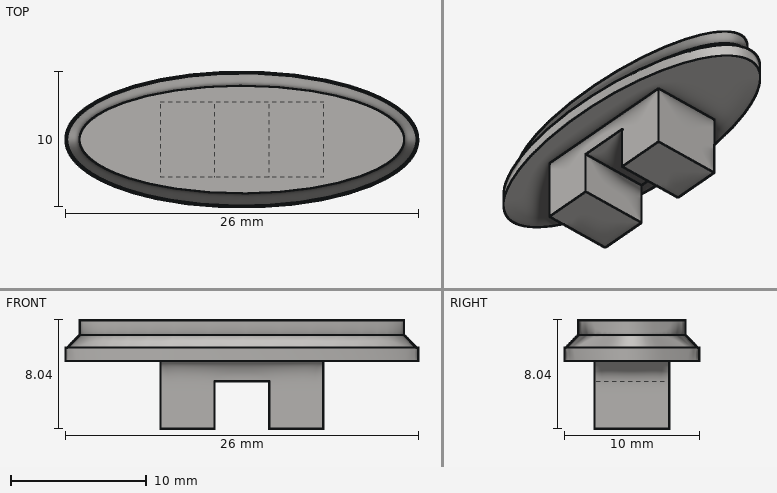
import cadquery as cq

cap_length = 26.0
cap_width = 10.0
rim_height = 1.0
bevel_height = 0.94
top_height = 1.1
bevel_inset = 0.13
top_inset = 1.05

block_length = 12.0
block_width = 5.55
block_height = 5.0
slot_width = 4.0
slot_depth = 3.5

rim_top = block_height + rim_height
bevel_top = rim_top + bevel_height


def oval(height, inset):
    """Ellipse at the given height, reduced by the inset on every side."""
    return cq.Workplane("XY", origin=(0, 0, height)).ellipse(cap_length / 2 - inset, cap_width / 2 - inset)


rim = oval(block_height, 0).extrude(rim_height)
bevel = (
    oval(rim_top, bevel_inset)
    .workplane(offset=bevel_height)
    .ellipse(cap_length / 2 - top_inset, cap_width / 2 - top_inset)
    .loft(ruled=True)
)
raised_top = oval(bevel_top, top_inset).extrude(top_height)

block = cq.Workplane("XY").box(block_length, block_width, block_height, centered=(True, True, False))
slot = cq.Workplane("XY").box(slot_width, block_width, slot_depth, centered=(True, True, False))

result = rim.union(bevel).union(raised_top).union(block.cut(slot))